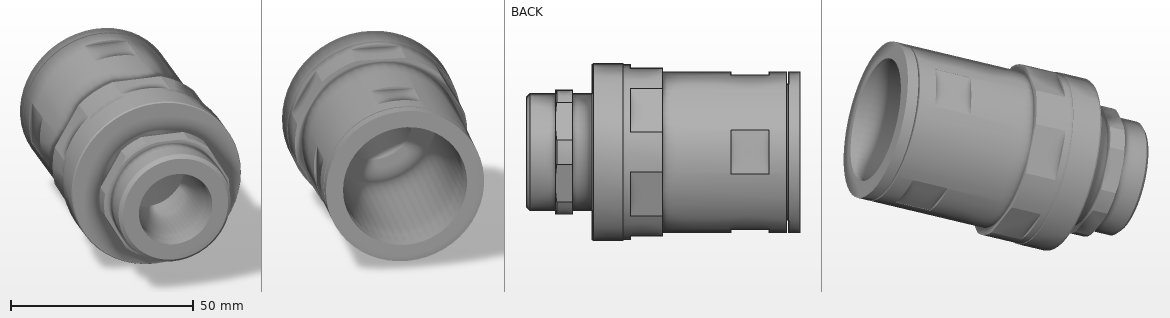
import cadquery as cq

LENGTH = 75.0

SLEEVE_DIAMETER = 44.0
HOUSING_BORE_DIAMETER = 34.5
GROOVE_START = 3.15
GROOVE_WIDTH = 0.5
GROOVE_DIAMETER = 37.3
COLLAR_START = 37.65
COLLAR_DIAMETER = 48.0
COLLAR_ACROSS_FLATS = 46.0
COLLAR_FLAT_LENGTH = 8.85
FLANGE_START = 48.5
FLANGE_END = 57.0
FLANGE_DIAMETER = 48.45
FLANGE_CHAMFER_LENGTH = 0.45
FLANGE_CHAMFER_DEPTH = 0.2

PAD_COUNT = 4
PAD_START = 8.5
PAD_LENGTH = 10.5
PAD_WIDTH = 12.15
PAD_CORNER_RADIUS = 0.4
PAD_FLOOR_RADIUS = 21.1

SPIGOT_DIAMETER = 24.0
PASSAGE_DIAMETER = 21.0
THREAD_DIAMETER = 32.0
THREAD_CHAMFER = 1.0
HEX_START = 62.3
HEX_END = 67.0
HEX_ACROSS_FLATS = 34.0
HEX_CORNER_DIAMETER = 36.0
HEX_FACE_DIAMETER = 34.5
HEX_BEVEL_LENGTH = 0.3

HEX_SIDES = 6
HEX_TURN = 180 / HEX_SIDES


def cylinder(start, end, diameter):
    """Cylinder on the X axis between two X positions."""
    return cq.Workplane("YZ", origin=(start, 0, 0)).circle(diameter / 2).extrude(end - start)


def flatted(blank, start, end, across_flats):
    """Cut six flats on a round blank, two of them facing up and down."""
    hexagon = (
        cq.Workplane("YZ", origin=(start, 0, 0))
        .polygon(HEX_SIDES, across_flats, circumscribed=True)
        .extrude(end - start)
        .rotate((0, 0, 0), (1, 0, 0), HEX_TURN)
    )
    return blank.intersect(hexagon)


def pad_cutter(angle):
    """Block that cuts one flat recess in the sleeve, at an angle about the X axis."""
    center_x = PAD_START + PAD_LENGTH / 2
    block = (
        cq.Workplane("XY", origin=(center_x, 0, PAD_FLOOR_RADIUS))
        .rect(PAD_LENGTH, PAD_WIDTH)
        .extrude(SLEEVE_DIAMETER / 2 - PAD_FLOOR_RADIUS)
        .edges("|Z")
        .fillet(PAD_CORNER_RADIUS)
    )
    return block.rotate((0, 0, 0), (1, 0, 0), angle)


def make_flange():
    """Rim of the housing, with a shallow chamfer on its rear edge."""
    return (
        cylinder(FLANGE_START, FLANGE_END, FLANGE_DIAMETER)
        .faces(">X")
        .chamfer(FLANGE_CHAMFER_LENGTH, FLANGE_CHAMFER_DEPTH)
    )


def make_housing():
    flat_end = COLLAR_START + COLLAR_FLAT_LENGTH
    collar_blank = cylinder(COLLAR_START, flat_end, COLLAR_DIAMETER)
    housing = (
        cylinder(0, COLLAR_START, SLEEVE_DIAMETER)
        .union(flatted(collar_blank, COLLAR_START, flat_end, COLLAR_ACROSS_FLATS))
        .union(cylinder(flat_end, FLANGE_START, COLLAR_DIAMETER))
        .union(make_flange())
    )

    groove_end = GROOVE_START + GROOVE_WIDTH
    groove = cylinder(GROOVE_START, groove_end, SLEEVE_DIAMETER).cut(
        cylinder(GROOVE_START, groove_end, GROOVE_DIAMETER)
    )
    housing = housing.cut(groove)

    for index in range(PAD_COUNT):
        housing = housing.cut(pad_cutter(index * 360 / PAD_COUNT))

    housing = housing.cut(cylinder(0, FLANGE_START, HOUSING_BORE_DIAMETER))
    return housing.cut(cylinder(FLANGE_START, FLANGE_END, SPIGOT_DIAMETER))


def make_fitting():
    spigot = cylinder(FLANGE_START, FLANGE_END, SPIGOT_DIAMETER)
    thread = cylinder(FLANGE_END, LENGTH, THREAD_DIAMETER).faces(">X").chamfer(THREAD_CHAMFER)

    bevel_depth = (HEX_CORNER_DIAMETER - HEX_FACE_DIAMETER) / 2
    hexagon_blank = (
        cylinder(HEX_START, HEX_END, HEX_CORNER_DIAMETER)
        .faces(">X")
        .chamfer(HEX_BEVEL_LENGTH, bevel_depth)
    )
    hexagon = flatted(hexagon_blank, HEX_START, HEX_END, HEX_ACROSS_FLATS)

    passage = cylinder(FLANGE_START, LENGTH, PASSAGE_DIAMETER)
    return spigot.union(thread).union(hexagon).cut(passage)


housing = make_housing()
fitting = make_fitting()
result = cq.Compound.makeCompound([housing.val(), fitting.val()])